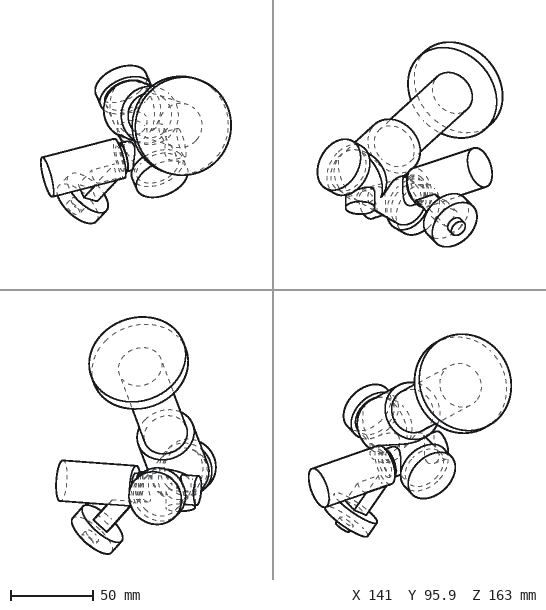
import cadquery as cq
import math

run_length = 78.9
run_diameter = 27.0
cap_diameter = 33.3
cap_thickness = 9.3

branch_x = 21.4
branch_angle = 45
sleeve_diameter = 35.5
sleeve_length = 48.0
tube_diameter = run_diameter
flange_diameter = 60.0
flange_thickness = 8.6
branch_length = 139.2

boss_diameter = 18.0
lower_boss_reach = 21.0
cross_boss_back = 20.2
cross_boss_front = cap_diameter / 2

handle_x = 55.3
neck_diameter = 16.0
handle_diameter = 25.0
handle_start = 19.4
handle_end = 65.9

knob_tilt = 40
arm_pivot_y = -18.7
arm_width = 11.1
arm_length = 33.0
arm_start = 8.2
knob_diameter = 31.8
knob_thickness = 10.3
pin_diameter = 10.0
pin_length = 4.4


def cylinder(origin, direction, diameter, start, end):
    """Solid cylinder between two distances along an axis."""
    axis_plane = cq.Plane(origin=origin, xDir=direction_across(direction), normal=direction)
    return cq.Workplane(axis_plane).workplane(offset=start).circle(diameter / 2).extrude(end - start)


def direction_across(direction):
    """A direction square to an axis; axes in the YZ plane get the X direction."""
    x, y, z = direction
    return (1, 0, 0) if x == 0 else (0, 1, 0)


def make_run():
    origin = (0, 0, 0)
    along_x = (1, 0, 0)
    body = cylinder(origin, along_x, run_diameter, 0, run_length)
    for cap_start in (0, run_length - cap_thickness):
        cap = cylinder(origin, along_x, cap_diameter, cap_start, cap_start + cap_thickness)
        body = body.union(cap)
    return body


def make_branch():
    origin = (branch_x, 0, 0)
    angle = math.radians(branch_angle)
    direction = (math.cos(angle), 0, math.sin(angle))
    sleeve = cylinder(origin, direction, sleeve_diameter, 0, sleeve_length)
    tube = cylinder(origin, direction, tube_diameter, 0, branch_length)
    flange_start = branch_length - flange_thickness
    flange = cylinder(origin, direction, flange_diameter, flange_start, branch_length)
    return sleeve.union(tube).union(flange)


def make_bosses():
    lower = cylinder((branch_x, 0, 0), (0, 0, -1), boss_diameter, 0, lower_boss_reach)
    cross = cylinder((handle_x, 0, 0), (0, -1, 0), boss_diameter, -cross_boss_back, cross_boss_front)
    return lower.union(cross)


def make_handle():
    origin = (handle_x, 0, 0)
    toward_front = (0, -1, 0)
    neck = cylinder(origin, toward_front, neck_diameter, 0, handle_start)
    grip = cylinder(origin, toward_front, handle_diameter, handle_start, handle_end)
    return neck.union(grip)


def make_knob():
    origin = (handle_x, arm_pivot_y, 0)
    tilt = math.radians(knob_tilt)
    direction = (0, -math.sin(tilt), -math.cos(tilt))
    arm_plane = cq.Plane(origin=origin, xDir=direction_across(direction), normal=direction)
    arm = (
        cq.Workplane(arm_plane)
        .workplane(offset=arm_start)
        .rect(arm_width, arm_width)
        .extrude(arm_length - arm_start)
    )
    knob_end = arm_length + knob_thickness
    knob = cylinder(origin, direction, knob_diameter, arm_length, knob_end)
    pin = cylinder(origin, direction, pin_diameter, knob_end, knob_end + pin_length)
    return arm.union(knob).union(pin)


result = (
    make_run()
    .union(make_branch())
    .union(make_bosses())
    .union(make_handle())
    .union(make_knob())
)